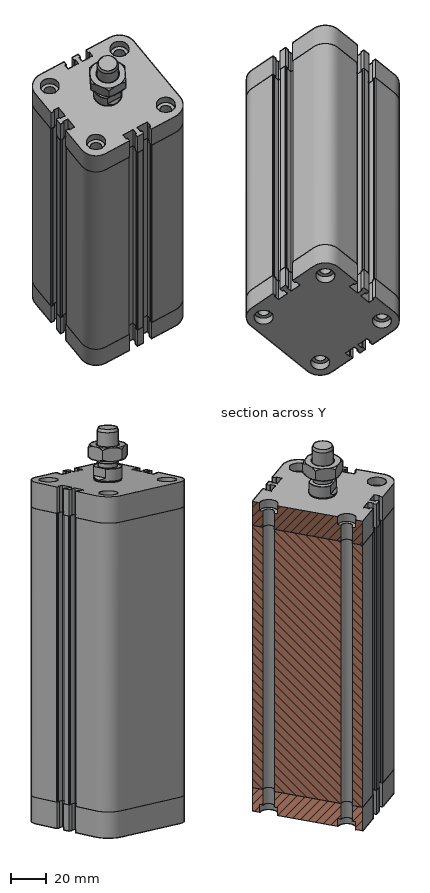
import cadquery as cq
import math

side = 66.0
corner_radius = 9.7
cap_height = 15.0
body_height = 195.0
barrel_height = body_height - 2 * cap_height

hole_spacing = 46.5
hole_diameter = 6.5
counterbore_diameter = 10.5
counterbore_depth = 5.0

slot_pitch = 9.5
slot_mouth_width = 5.2
slot_inner_width = 6.8
slot_depth = 5.5
cap_slot_lip = 2.2
barrel_slot_lip = 1.4
barrel_mouth_chamfer = 0.5
slot_side_angles = (0, 90, -90)

overall_height = 225.0
rod_diameter = 16.0
rod_bottom = body_height - cap_height
flat_bottom = 197.8
rod_across_flats = 13.0
shoulder_z = 203.0
shoulder_chamfer = 0.11
base_taper = 0.5
base_taper_bottom = body_height + 0.5
bore_diameter = rod_diameter - 2 * base_taper
neck_diameter = 10.8
thread_bottom = 205.5
thread_diameter = 12.0
tip_diameter = 10.5
tip_chamfer_height = 1.8

nut_bottom = 207.7
nut_height = 7.6
nut_across_flats = 19.5
nut_corner_drop = 1.1
nut_face_diameter = 20.0
nut_countersink_diameter = 13.0


def square_block(height):
    """Rounded square prism standing on Z = 0."""
    return cq.Workplane("XY").rect(side, side).extrude(height).edges("|Z").fillet(corner_radius)


def cut_corner_holes(block, height):
    cutter = (
        cq.Workplane("XY")
        .rect(hole_spacing, hole_spacing, forConstruction=True)
        .vertices()
        .circle(hole_diameter / 2)
        .extrude(height)
    )
    return block.cut(cutter)


def slot_cutter(center_x, height, lip, chamfer):
    """T-slot in the -Y side, with the lip thickness and mouth chamfer given."""
    face_y = -side / 2
    mouth = slot_mouth_width / 2
    inner = slot_inner_width / 2
    half_outline = [(inner, slot_depth), (inner, lip), (mouth, lip), (mouth, chamfer)]
    if chamfer > 0:
        half_outline.append((mouth + chamfer, 0))
    right = [(center_x + x, face_y + depth) for x, depth in half_outline]
    left = [(center_x - x, face_y + depth) for x, depth in reversed(half_outline)]
    return cq.Workplane("XY").polyline(right + left).close().extrude(height)


def cut_slots(block, height, lip, chamfer):
    for angle in slot_side_angles:
        for center_x in (-slot_pitch / 2, slot_pitch / 2):
            cutter = slot_cutter(center_x, height, lip, chamfer)
            block = block.cut(cutter.rotate((0, 0, 0), (0, 0, 1), angle))
    return block


def make_cap():
    """End cap standing on Z = 0, with its counterbores in the top face."""
    cap = cut_slots(square_block(cap_height), cap_height, cap_slot_lip, chamfer=0)
    cap = cut_corner_holes(cap, cap_height)
    counterbores = (
        cq.Workplane("XY")
        .workplane(offset=cap_height - counterbore_depth)
        .rect(hole_spacing, hole_spacing, forConstruction=True)
        .vertices()
        .circle(counterbore_diameter / 2)
        .extrude(counterbore_depth)
    )
    return cap.cut(counterbores)


def make_rear_cap():
    """Mirror image of the front cap, so its counterbores face down."""
    return make_cap().mirror("XY").translate((0, 0, cap_height))


def make_barrel():
    block = square_block(barrel_height)
    barrel = cut_slots(block, barrel_height, barrel_slot_lip, barrel_mouth_chamfer)
    barrel = cut_corner_holes(barrel, barrel_height)
    return barrel.translate((0, 0, cap_height))


def make_front_cap():
    """End cap on top of the barrel, bored for the piston rod."""
    rod_bore = cq.Workplane("XY").circle(bore_diameter / 2).extrude(cap_height)
    return make_cap().cut(rod_bore).translate((0, 0, rod_bottom))


def make_rod():
    """Stepped rod with a chamfered tip and two wrench flats facing X, each ending in a 45-degree slope."""
    profile = [
        (0, rod_bottom),
        (bore_diameter / 2, rod_bottom),
        (bore_diameter / 2, base_taper_bottom),
        (rod_diameter / 2, base_taper_bottom + base_taper),
        (rod_diameter / 2, shoulder_z - shoulder_chamfer),
        (rod_diameter / 2 - shoulder_chamfer, shoulder_z),
        (neck_diameter / 2, shoulder_z),
        (neck_diameter / 2, thread_bottom),
        (thread_diameter / 2, thread_bottom),
        (thread_diameter / 2, overall_height - tip_chamfer_height),
        (tip_diameter / 2, overall_height),
        (0, overall_height),
    ]
    rod = cq.Workplane("XZ").polyline(profile).close().revolve(360, (0, 0), (0, 1))
    flat_x = rod_across_flats / 2
    flat_height = shoulder_z - flat_bottom
    flat_cutter = (
        cq.Workplane("XZ")
        .polyline(
            [
                (flat_x, flat_bottom),
                (flat_x + flat_height, flat_bottom - flat_height),
                (flat_x + flat_height, shoulder_z),
                (flat_x, shoulder_z),
            ]
        )
        .close()
        .extrude(rod_diameter / 2, both=True)
    )
    return rod.cut(flat_cutter).cut(flat_cutter.mirror("YZ"))


def make_nut():
    """Hexagon nut with its corners turned off at both ends and a countersunk hole."""
    corner_diameter = nut_across_flats / math.cos(math.radians(30))
    hexagon = (
        cq.Workplane("XY")
        .polygon(6, corner_diameter)
        .extrude(nut_height)
        .rotate((0, 0, 0), (0, 0, 1), 90)
    )
    hole = thread_diameter / 2
    countersink = nut_countersink_diameter / 2
    countersink_depth = countersink - hole
    face = nut_face_diameter / 2
    corner = corner_diameter / 2
    envelope_profile = [
        (countersink, 0),
        (face, 0),
        (corner, nut_corner_drop),
        (corner, nut_height - nut_corner_drop),
        (face, nut_height),
        (countersink, nut_height),
        (hole, nut_height - countersink_depth),
        (hole, countersink_depth),
    ]
    envelope = cq.Workplane("XZ").polyline(envelope_profile).close().revolve(360, (0, 0), (0, 1))
    return hexagon.intersect(envelope).translate((0, 0, nut_bottom))


rear_cap = make_rear_cap()
barrel = make_barrel()
front_cap = make_front_cap()
rod = make_rod()
nut = make_nut()

result = cq.Compound.makeCompound(
    [rear_cap.val(), barrel.val(), front_cap.val(), rod.val(), nut.val()]
)